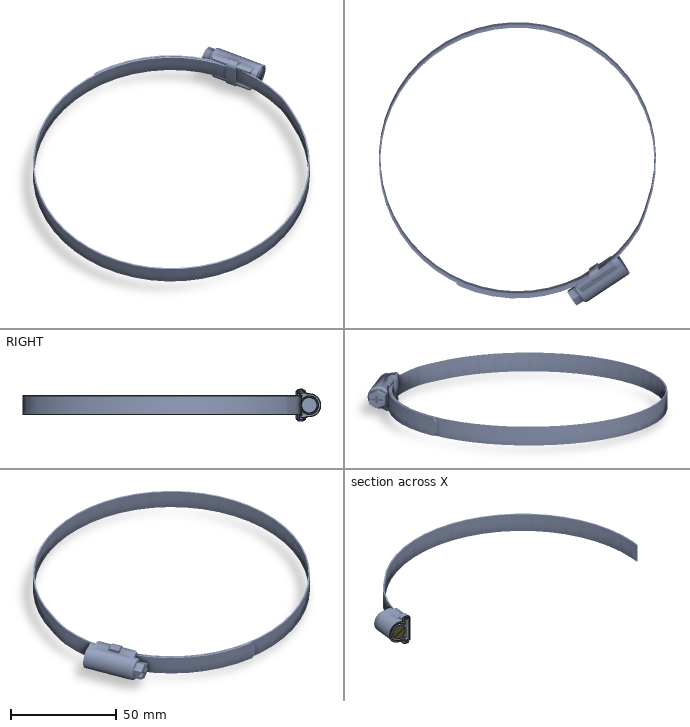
import cadquery as cq
import math


overall_length = 141.4

band_outer_diameter = 131.4
band_outer_radius = band_outer_diameter / 2
band_thickness = 0.7
band_width = 9.0
layer_gap = 0.1
inner_end_angle = 90.0
ramp_start_angle = 54.0
ramp_end_angle = 64.0
tongue_end_angle = 150.0
tongue_chamfer = 1.7

hood_diameter = 10.9
hood_radius = hood_diameter / 2
hood_bore_radius = 4.4
housing_top = overall_length - band_outer_radius
screw_y = housing_top - hood_radius
housing_start = -10.5
housing_end = 12.9
hood_skirt_top = 69.5
shoulder_bottom = 67.0
leg_bottom = 64.9
leg_span = 13.5
leg_thickness = 1.1
leg_outer = leg_span / 2
leg_inner = leg_outer - leg_thickness
leg_end = 10.0
leg_chamfer = 0.7
ceiling_y = 66.6
guide_outer = 5.8
guide_inner = 4.7
guide_top = 68.2
guide_bottom = 65.0
guide_round = 2.0
collar_start = -12.5
collar_radius = 5.4
collar_round = 1.0
collar_bottom = 65.8
hook_recess_width = 6.0
hook_recess_top = 69.3

shank_radius = 3.7
head_start = -16.4
head_half_width = 3.8
head_half_height = 4.0
head_side_half_height = 2.3
slot_width = 1.3
slot_depth = 1.4
cross_length = 3.8

clip_width = 4.8
clip_thickness = 0.8
clip_outer = leg_outer + clip_thickness
clip_bottom = 63.9
clip_top = 68.5
clip_corner_radius = 2.0


def box_between(x_start, x_end, y_start, y_end, half_height):
    """Box between the given X and Y limits, symmetric about Z = 0."""
    return (
        cq.Workplane("YZ", origin=(x_start, 0, 0))
        .center((y_start + y_end) / 2, 0)
        .rect(y_end - y_start, 2 * half_height)
        .extrude(x_end - x_start)
    )


def rod(x_start, x_end, radius):
    """Cylinder on the screw axis."""
    return (
        cq.Workplane("YZ", origin=(x_start, screw_y, 0))
        .circle(radius)
        .extrude(x_end - x_start)
    )


def mirrored_prism(x_start, x_end, half_outline):
    """Prism along X from the +Z half of a (Y, Z) outline and its mirror image."""
    lower_half = [(y, -z) for y, z in reversed(half_outline)]
    return (
        cq.Workplane("YZ", origin=(x_start, 0, 0))
        .polyline(half_outline + lower_half)
        .close()
        .extrude(x_end - x_start)
    )


def polar(radius, angle):
    return (radius * math.cos(math.radians(angle)), radius * math.sin(math.radians(angle)))


def make_band():
    layer_step = band_thickness + layer_gap
    outer = band_outer_radius
    inner = outer - band_thickness
    tongue_outer = outer + layer_step
    tongue_inner = inner + layer_step
    main_mid_angle = (inner_end_angle + ramp_start_angle + 360) / 2
    ramp_mid_angle = (ramp_start_angle + ramp_end_angle) / 2
    tongue_mid_angle = (ramp_end_angle + tongue_end_angle) / 2
    strip = (
        cq.Workplane("XY", origin=(0, 0, -band_width / 2))
        .moveTo(*polar(outer, inner_end_angle))
        .threePointArc(polar(outer, main_mid_angle), polar(outer, ramp_start_angle))
        .threePointArc(polar(outer + layer_step / 2, ramp_mid_angle), polar(tongue_outer, ramp_end_angle))
        .threePointArc(polar(tongue_outer, tongue_mid_angle), polar(tongue_outer, tongue_end_angle))
        .lineTo(*polar(tongue_inner, tongue_end_angle))
        .threePointArc(polar(tongue_inner, tongue_mid_angle), polar(tongue_inner, ramp_end_angle))
        .threePointArc(polar(inner + layer_step / 2, ramp_mid_angle), polar(inner, ramp_start_angle))
        .threePointArc(polar(inner, main_mid_angle), polar(inner, inner_end_angle))
        .close()
        .extrude(band_width)
    )
    end_x, end_y = polar(tongue_outer - band_thickness / 2, tongue_end_angle)
    tongue_corners = [
        cq.selectors.NearestToPointSelector((end_x, end_y, side * band_width / 2))
        for side in (-1, 1)
    ]
    for corner in tongue_corners:
        strip = strip.edges(corner).chamfer(tongue_chamfer)
    return strip


def make_collar():
    """Crimped ring that holds the screw at the head end of the hood."""
    collar = rod(collar_start, housing_start, collar_radius).faces("<X").edges().fillet(collar_round)
    return collar.intersect(
        box_between(collar_start, housing_start, collar_bottom, housing_top, collar_radius)
    )


def make_skirt():
    """Shoulders and legs on both sides of the band."""
    skirt = mirrored_prism(
        housing_start,
        leg_end,
        [
            (screw_y, hood_radius),
            (hood_skirt_top, hood_radius),
            (shoulder_bottom, leg_outer),
            (leg_bottom, leg_outer),
        ],
    )
    passage = box_between(housing_start, leg_end, leg_bottom, ceiling_y, leg_inner)
    skirt = skirt.cut(passage).faces("<Y").edges("|Z").chamfer(leg_chamfer)
    half_recess = hook_recess_width / 2
    recess_band = box_between(-half_recess, half_recess, shoulder_bottom, hook_recess_top, leg_outer)
    recess_core = box_between(-half_recess, half_recess, shoulder_bottom, hook_recess_top, hood_radius)
    return skirt.cut(recess_band.cut(recess_core))


def make_guide():
    """Narrower band guide with rounded lower edges, beyond the legs."""
    guide = mirrored_prism(
        leg_end,
        housing_end,
        [
            (screw_y, hood_radius),
            (hood_skirt_top, hood_radius),
            (guide_top, guide_outer),
            (guide_bottom, guide_outer),
        ],
    )
    guide = guide.edges("|X and <Y").fillet(guide_round)
    return guide.cut(box_between(leg_end, housing_end, guide_bottom, ceiling_y, guide_inner))


def make_housing():
    hood = rod(housing_start, housing_end, hood_radius).intersect(
        box_between(housing_start, housing_end, ceiling_y, housing_top, hood_radius)
    )
    return (
        hood.union(make_skirt())
        .union(make_guide())
        .cut(rod(housing_start, housing_end, hood_bore_radius))
        .union(make_collar())
        .cut(rod(collar_start, housing_start, shank_radius))
    )


def make_screw():
    head = mirrored_prism(
        head_start,
        collar_start,
        [
            (screw_y - head_half_width, head_side_half_height),
            (screw_y, head_half_height),
            (screw_y + head_half_width, head_side_half_height),
        ],
    )
    slot_end = head_start + slot_depth
    slot = box_between(
        head_start, slot_end, screw_y - head_half_width, screw_y + head_half_width, slot_width / 2
    )
    cross = box_between(
        head_start, slot_end, screw_y - slot_width / 2, screw_y + slot_width / 2, cross_length / 2
    )
    return head.cut(slot).cut(cross).union(rod(collar_start, housing_end, shank_radius))


def make_clip():
    """Bent strap under the band whose hooks sit in the recesses of the housing shoulders."""
    strap = mirrored_prism(
        -clip_width / 2,
        clip_width / 2,
        [
            (clip_bottom, clip_outer),
            (shoulder_bottom, clip_outer),
            (clip_top, leg_outer),
        ],
    )
    strap = strap.edges("|X and <Y").fillet(clip_corner_radius)
    opening = mirrored_prism(
        -clip_width / 2,
        clip_width / 2,
        [
            (clip_bottom + clip_thickness, leg_outer),
            (shoulder_bottom, leg_outer),
            (shoulder_bottom, hood_radius),
            (clip_top, hood_radius),
        ],
    )
    return strap.cut(opening)


band = make_band()
housing = make_housing()
screw = make_screw()
clip = make_clip()

result = cq.Compound.makeCompound(
    [
        band.solids().val(),
        housing.solids().val(),
        screw.solids().val(),
        clip.solids().val(),
    ]
)